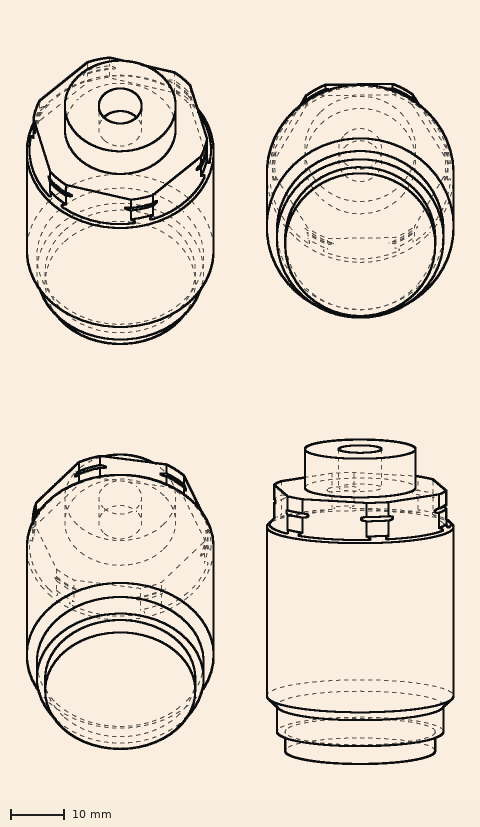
import cadquery as cq

base_top = 3.65
collar_top = 8.55
body_bottom = 10.4
body_top = 42.3
hex_top = 49.75
total_height = 57.05

base_radius = 14.0
collar_radius = 15.5
body_radius = 17.4
corner_radius = 16.3
stub_radius = 10.3
bore_radius = 4.0
bore_depth = total_height - hex_top

flat_count = 6
flat_distance = 15.05
flat_floor = 42.85
flat_fillet = 0.45

groove_height = 46.65
groove_radius = 0.4

shoulder_top = body_top + body_radius - corner_radius


def turned_body():
    """Solid of revolution with every outer step, before the flats are cut."""
    profile = [
        (0, 0),
        (base_radius, 0),
        (base_radius, base_top),
        (collar_radius, base_top),
        (collar_radius, collar_top),
        (body_radius, body_bottom),
        (body_radius, body_top),
        (corner_radius, shoulder_top),
        (corner_radius, hex_top),
        (stub_radius, hex_top),
        (stub_radius, total_height),
        (0, total_height),
    ]
    return cq.Workplane("XZ").polyline(profile).close().revolve(360, (0, 0, 0), (0, 1, 0))


def flat_cutter():
    """Block outside one flat on the +Y side, rounded along its lower inner edge."""
    length = 2 * body_radius
    depth = body_radius
    height = hex_top - flat_floor
    return (
        cq.Workplane("XY")
        .box(length, depth, height, centered=(True, False, False))
        .edges("<Y and <Z")
        .fillet(flat_fillet)
        .translate((0, flat_distance, flat_floor))
    )


def corner_groove():
    """Ring of round section centred on the corner surface."""
    return (
        cq.Workplane("XZ")
        .center(corner_radius, groove_height)
        .circle(groove_radius)
        .revolve(360, (-corner_radius, 0, 0), (-corner_radius, 1, 0))
    )


result = turned_body()
for index in range(flat_count):
    angle = index * 360 / flat_count
    result = result.cut(flat_cutter().rotate((0, 0, 0), (0, 0, 1), angle))

result = result.cut(corner_groove())
result = result.faces(">Z").workplane().hole(2 * bore_radius, bore_depth)